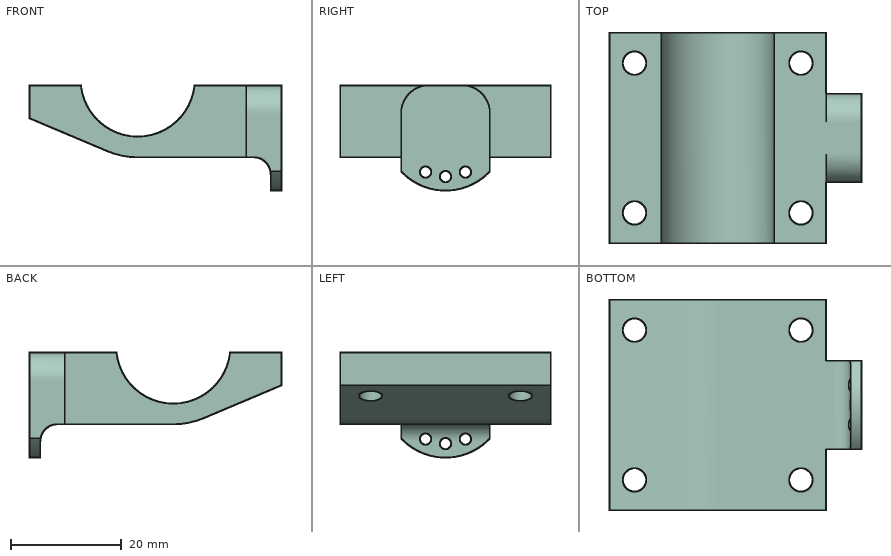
import cadquery as cq
import math

total_length = 45.5
block_length = 39.1
block_width = 38.0
block_height = 13.0
left_edge_height = 5.95

groove_x = block_length / 2
groove_axis_z = 1.05
groove_radius = 10.3

mount_hole_diameter = 4.2
mount_spacing_x = 30.05
mount_spacing_y = 27.03

lug_width = 16.0
lug_top_radius = 5.0
total_height = 19.0
tab_thickness = 2.0
tab_fillet_radius = 3.0
tab_end_radius = 10.9

tab_hole_diameter = 2.0
tab_hole_offset_y = 3.6
outer_tab_hole_z = -15.65
middle_tab_hole_z = -16.45


def make_block():
    """Block whose sloped underside runs tangent into an arc concentric with the groove."""
    arc_radius = block_height + groove_axis_z
    rise = groove_axis_z + left_edge_height
    corner_distance = math.hypot(groove_x, rise)
    corner_angle = math.atan2(groove_x, rise)
    slope_angle = corner_angle - math.acos(arc_radius / corner_distance)

    def arc_point(angle):
        return (
            groove_x - arc_radius * math.sin(angle),
            groove_axis_z - arc_radius * math.cos(angle),
        )

    return (
        cq.Workplane("XZ")
        .moveTo(0, 0)
        .lineTo(0, -left_edge_height)
        .lineTo(*arc_point(slope_angle))
        .threePointArc(arc_point(slope_angle / 2), arc_point(0))
        .lineTo(block_length, -block_height)
        .lineTo(block_length, 0)
        .close()
        .extrude(block_width / 2, both=True)
    )


def make_lug():
    """Lug with a filleted tab: side profile intersected with its end outline."""
    tab_x = total_length - tab_thickness
    profile = (
        cq.Workplane("XZ")
        .moveTo(block_length, 0)
        .lineTo(total_length, 0)
        .lineTo(total_length, -total_height)
        .lineTo(tab_x, -total_height)
        .lineTo(tab_x, -block_height - tab_fillet_radius)
        .radiusArc((tab_x - tab_fillet_radius, -block_height), -tab_fillet_radius)
        .lineTo(block_length, -block_height)
        .close()
        .extrude(lug_width / 2, both=True)
    )

    half_width = lug_width / 2
    end_center_z = tab_end_radius - total_height
    side_bottom_z = end_center_z - math.sqrt(tab_end_radius**2 - half_width**2)
    top_flat_half = half_width - lug_top_radius
    outline = (
        cq.Workplane("YZ", origin=(block_length, 0, 0))
        .moveTo(-top_flat_half, 0)
        .lineTo(top_flat_half, 0)
        .radiusArc((half_width, -lug_top_radius), lug_top_radius)
        .lineTo(half_width, side_bottom_z)
        .threePointArc((0, -total_height), (-half_width, side_bottom_z))
        .lineTo(-half_width, -lug_top_radius)
        .radiusArc((-top_flat_half, 0), lug_top_radius)
        .close()
        .extrude(total_length - block_length)
    )
    return profile.intersect(outline)


groove = (
    cq.Workplane("XZ")
    .center(groove_x, groove_axis_z)
    .circle(groove_radius)
    .extrude(block_width / 2, both=True)
)

mount_holes = (
    cq.Workplane("XY", origin=(groove_x, 0, -block_height))
    .rarray(mount_spacing_x, mount_spacing_y, 2, 2)
    .circle(mount_hole_diameter / 2)
    .extrude(block_height)
)

tab_holes = (
    cq.Workplane("YZ", origin=(block_length, 0, 0))
    .pushPoints([
        (-tab_hole_offset_y, outer_tab_hole_z),
        (0, middle_tab_hole_z),
        (tab_hole_offset_y, outer_tab_hole_z),
    ])
    .circle(tab_hole_diameter / 2)
    .extrude(total_length - block_length)
)

result = make_block().union(make_lug()).cut(groove).cut(mount_holes).cut(tab_holes)